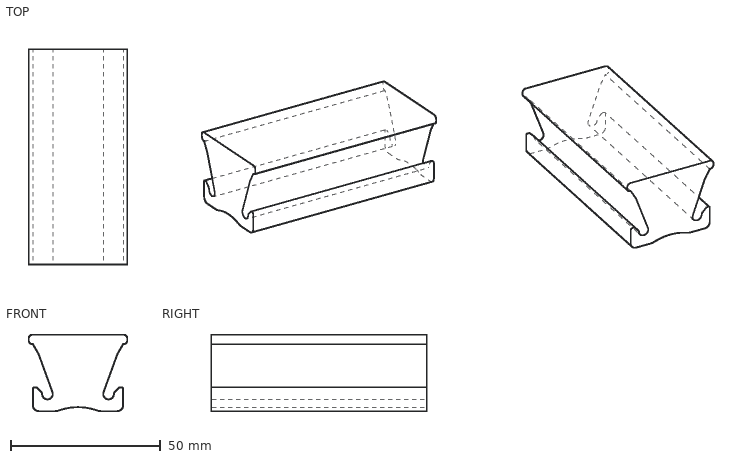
import cadquery as cq
import math

LENGTH = 72.0
HEIGHT = 25.6

HEAD_HALF_WIDTH = 33.0 / 2
HEAD_THICKNESS = 3.2
HEAD_RADIUS = 1.3
NECK_HALF_WIDTH = 15.1

WEB_TOP_HALF_WIDTH = 13.2
WEB_TOP_Z = HEIGHT - 6.5
WEB_ANGLE = math.radians(20.0)

GROOVE_RADIUS = 1.75
GROOVE_BOTTOM_Z = 4.0

BASE_HALF_WIDTH = 15.1
BASE_CORNER_RADIUS = 2.0
LIP_TOP_Z = 8.0
LIP_TOP_WIDTH = 1.3
LIP_SLOPE = math.radians(45.0)
LIP_RADIUS = 0.5
GROOVE_MOUTH_RADIUS = 1.5

HOLLOW_HALF_WIDTH = 7.0
HOLLOW_HEIGHT = 1.35
HOLLOW_EDGE_RADIUS = 3.0


def groove_center():
    """Centre of the groove arc, placed so the arc is tangent to the web line."""
    z = GROOVE_BOTTOM_Z + GROOVE_RADIUS
    web_x = WEB_TOP_HALF_WIDTH - (WEB_TOP_Z - z) * math.tan(WEB_ANGLE)
    return web_x + GROOVE_RADIUS / math.cos(WEB_ANGLE), z


def groove_end(lip_inner):
    """Point where the lip slope, running down from lip_inner, first meets the groove arc."""
    center_x, center_z = groove_center()
    step_x = -math.cos(LIP_SLOPE)
    step_z = -math.sin(LIP_SLOPE)
    to_x = center_x - lip_inner[0]
    to_z = center_z - lip_inner[1]
    along = to_x * step_x + to_z * step_z
    offset = to_x * step_z - to_z * step_x
    distance = along - math.sqrt(GROOVE_RADIUS**2 - offset**2)
    return lip_inner[0] + distance * step_x, lip_inner[1] + distance * step_z


def round_edges(body, x, z, radius):
    """Round the pair of lengthwise edges at (x, z) and (-x, z)."""
    for side in (1, -1):
        edge = cq.selectors.NearestToPointSelector((side * x, 0, z))
        body = body.edges("|Y").edges(edge).fillet(radius)
    return body


def make_rail():
    center_x, center_z = groove_center()
    groove_start = (
        center_x - GROOVE_RADIUS * math.cos(WEB_ANGLE),
        center_z + GROOVE_RADIUS * math.sin(WEB_ANGLE),
    )
    lip_inner = (BASE_HALF_WIDTH - LIP_TOP_WIDTH, LIP_TOP_Z)
    groove_mouth = groove_end(lip_inner)

    hollow_radius = (HOLLOW_HALF_WIDTH**2 + HOLLOW_HEIGHT**2) / (2 * HOLLOW_HEIGHT)
    hollow_mid_x = HOLLOW_HALF_WIDTH / 2
    hollow_center_z = HOLLOW_HEIGHT - hollow_radius
    hollow_mid_z = hollow_center_z + math.sqrt(hollow_radius**2 - hollow_mid_x**2)

    body = (
        cq.Workplane("XZ")
        .moveTo(0, HEIGHT)
        .lineTo(HEAD_HALF_WIDTH, HEIGHT)
        .lineTo(HEAD_HALF_WIDTH, HEIGHT - HEAD_THICKNESS)
        .lineTo(NECK_HALF_WIDTH, HEIGHT - HEAD_THICKNESS)
        .lineTo(WEB_TOP_HALF_WIDTH, WEB_TOP_Z)
        .lineTo(*groove_start)
        .threePointArc((center_x, GROOVE_BOTTOM_Z), groove_mouth)
        .lineTo(*lip_inner)
        .lineTo(BASE_HALF_WIDTH, LIP_TOP_Z)
        .lineTo(BASE_HALF_WIDTH, 0)
        .lineTo(HOLLOW_HALF_WIDTH, 0)
        .threePointArc((hollow_mid_x, hollow_mid_z), (0, HOLLOW_HEIGHT))
        .mirrorY()
        .extrude(LENGTH / 2, both=True)
        .clean()
    )

    body = round_edges(body, HEAD_HALF_WIDTH, HEIGHT, HEAD_RADIUS)
    body = round_edges(body, HEAD_HALF_WIDTH, HEIGHT - HEAD_THICKNESS, HEAD_RADIUS)
    body = round_edges(body, *groove_mouth, GROOVE_MOUTH_RADIUS)
    body = round_edges(body, *lip_inner, LIP_RADIUS)
    body = round_edges(body, BASE_HALF_WIDTH, LIP_TOP_Z, LIP_RADIUS)
    body = round_edges(body, BASE_HALF_WIDTH, 0, BASE_CORNER_RADIUS)
    return round_edges(body, HOLLOW_HALF_WIDTH, 0, HOLLOW_EDGE_RADIUS)


result = make_rail()